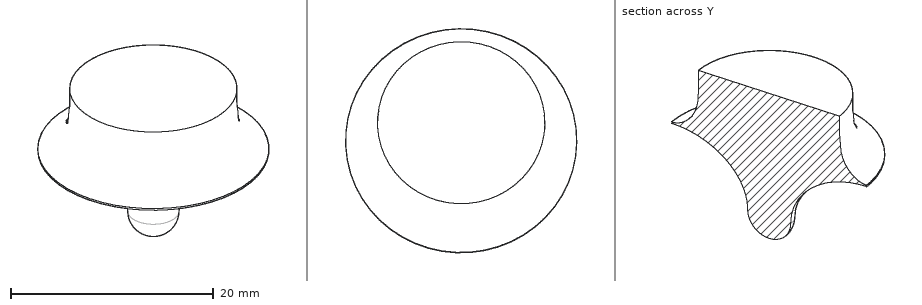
import cadquery as cq

plug_radius = 8.27
rim_radius = 11.425
rim_thickness = 0.2
tip_radius = 2.55
lower_flare_height = 7.04
upper_flare_height = 6.93

lower_pull_up = 3.75
lower_pull_inward = 4.99

upper_pull_inward = 1.81
wall_control_heights = (1.98, 2.79, 4.55)

tip_top = tip_radius
rim_bottom = tip_top + lower_flare_height
rim_top = rim_bottom + rim_thickness
plug_top = rim_top + upper_flare_height


def lower_flare(profile):
    """Curve leaving the tip upright and meeting the rim's underside flat."""
    controls = [
        (tip_radius, tip_top + lower_pull_up),
        (rim_radius - lower_pull_inward, rim_bottom),
        (rim_radius, rim_bottom),
    ]
    return profile.bezier(controls, includeCurrent=True)


def upper_flare(profile):
    """Curve leaving the rim's top flat and easing into the upright plug wall."""
    controls = [(rim_radius - upper_pull_inward, rim_top)]
    for height in wall_control_heights:
        controls.append((plug_radius, rim_top + height))
    controls.append((plug_radius, plug_top))
    return profile.bezier(controls, includeCurrent=True)


def half_profile():
    """Closed outline of one half section, drawn from the tip upwards."""
    profile = cq.Workplane("XZ").moveTo(0, 0)
    profile = profile.radiusArc((tip_radius, tip_top), -tip_radius)
    profile = lower_flare(profile)
    profile = profile.lineTo(rim_radius, rim_top)
    profile = upper_flare(profile)
    return profile.lineTo(0, plug_top).close()


result = half_profile().revolve(360, (0, 0, 0), (0, 1, 0))